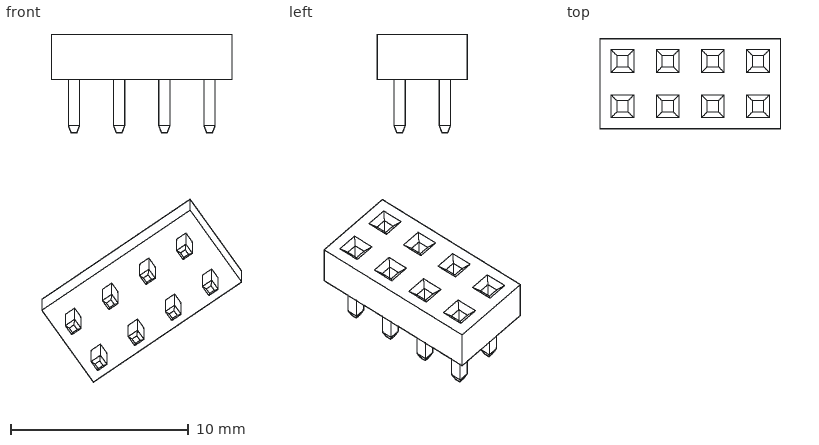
import cadquery as cq

pitch = 2.54
columns = 4
rows = 2

housing_length = columns * pitch
housing_width = rows * pitch
housing_height = 2.54

overall_height = 5.54
pin_length = overall_height - housing_height
pin_width = 0.64
tip_length = 0.41
tip_width = pin_width / 2

hole_width = pin_width
hole_depth = 2.03
funnel_width = 2 * hole_width
funnel_depth = (funnel_width - hole_width) / 2

contact_points = [
    ((column - (columns - 1) / 2) * pitch, (row - (rows - 1) / 2) * pitch)
    for column in range(columns)
    for row in range(rows)
]


def square_taper(start_z, start_width, end_z, end_width):
    """Square frustum between two heights on the Z axis."""
    return (
        cq.Workplane("XY", origin=(0, 0, start_z))
        .rect(start_width, start_width)
        .workplane(offset=end_z - start_z)
        .rect(end_width, end_width)
        .loft(ruled=True)
    )


def square_bar(top_z, width, length):
    """Straight square bar hanging down from top_z."""
    return cq.Workplane("XY", origin=(0, 0, top_z)).rect(width, width).extrude(-length)


def make_pin():
    """Square pin below the housing with a tapered tip."""
    shank_length = pin_length - tip_length
    shank = square_bar(0, pin_width, shank_length)
    tip = square_taper(-shank_length, pin_width, -pin_length, tip_width)
    return shank.union(tip)


def make_socket():
    """Volume removed from the housing for one contact."""
    funnel = square_taper(housing_height, funnel_width, housing_height - funnel_depth, hole_width)
    hole = square_bar(housing_height - funnel_depth, hole_width, hole_depth - funnel_depth)
    return funnel.union(hole)


result = cq.Workplane("XY").box(
    housing_length, housing_width, housing_height, centered=(True, True, False)
)
pin = make_pin()
socket = make_socket()
for x, y in contact_points:
    result = result.union(pin.translate((x, y, 0)))
    result = result.cut(socket.translate((x, y, 0)))